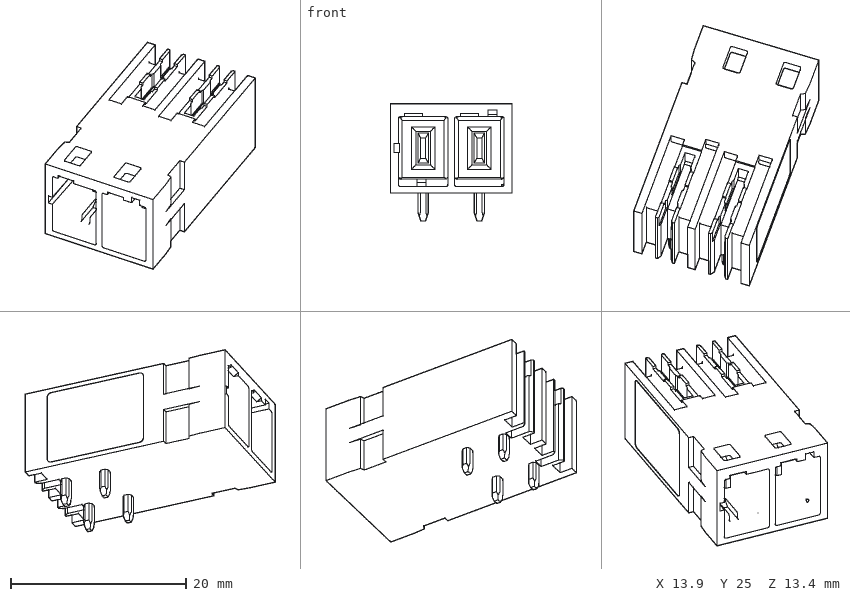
import cadquery as cq


BODY_W, BODY_L, BODY_H = 13.9, 25.0, 10.2
POLE_X = 3.2
POLES = (-POLE_X, POLE_X)
OVERCUT = 0.25

CAVITY_W = 5.65
CAVITY_FLOOR, CAVITY_ROOF = 0.75, 8.7
CAVITY_DEPTH = 12.5
WALL_DRAFT = 0.2
BACK_TAPER, ROOF_TAPER, BACK_TAPER_L = 0.22, 0.42, 1.5
STEP_Y, STEP_H = 3.22, 0.82
CAVITY_EDGE_R, STEP_R = 0.22, 0.238

CONTACT_Z = 5.12
COLLAR_W, COLLAR_H, COLLAR_SLOPE, COLLAR_L = 2.7, 4.85, 0.52, 3.0
BLADE_W, BLADE_H = 1.2, 3.45
BLADE_TIP_W, BLADE_TIP_H = 0.58, 2.32
BLADE_TIP_Y, BLADE_TAPER_L = 5.0, 2.0

WINDOW_W = 2.05
WINDOW_FRONT, WINDOW_BACK = 1.5, 4.48
WINDOW_R = 0.18
WINDOW_OFFSET = -1.1
LEAD_IN_H, LEAD_IN_L = 0.38, 0.6

KEY_W = 1.02
FLOOR_KEY_X, FLOOR_KEY_END = -3.4, 6.5
ROOF_KEY_X, ROOF_KEY_END, ROOF_KEY_H = 4.7, 6.5, 0.75
KEY_RAMP, KEY_RAMP_L = 0.48, 0.6
SIDE_KEY_Z, SIDE_KEY_DEPTH, SIDE_KEY_END = 5.15, 0.52, 6.5

WIDE_SLOT_W = 1.6
WIDE_SLOT_OFFSET = 1.95
LEFT_SLOT_FRONT, RIGHT_SLOT_FRONT = 13.7, 14.52
WIDE_SLOT_FLOOR = 8.7
WIDE_SLOT_FLOOR_END = 23.42
WIDE_SLOT_R = 0.2
LEFT_SLOT_END_CHAMFER = 0.32

GAP_W, GAP_FRONT, GAP_FLOOR, GAP_FLOOR_END = 1.2, 15.92, 7.5, 22.22
GAP_END_RAMP = 0.28
RELIEF_FLOOR = 8.0
RELIEF_DEPTH, RELIEF_RUN = 0.15, 0.15
RELIEF_SPANS = ((17.55, 20.62), (22.3, BODY_L + OVERCUT))
FIN_LEAD_W, FIN_LEAD_L = 0.3, 0.42
FIN_DROP = 0.3
FIN_LOW_SPANS = ((15.2, 18.18), (20.0, 23.0))

GRIP_BACK, GRIP_DEEP_FRONT, GRIP_RISE_END, GRIP_FRONT = 7.68, 4.78, 4.58, 3.18
GRIP_DEPTH, GRIP_LIP = 0.6, 0.1
GRIP_LOWER_TOP, GRIP_UPPER_BOTTOM = 4.15, 6.18

PANEL_FRONT, PANEL_BACK = 10.22, 22.25
PANEL_BOTTOM, PANEL_TOP = 0.58, 9.65
PANEL_R, PANEL_DEPTH = 0.5, 0.05

PIN_ROWS = (16.7, 21.6)
PIN_W, PIN_L, PIN_CHAMFER = 1.2, 1.05, 0.28
PIN_TIP_W, PIN_TIP_L = 0.55, 0.5
PIN_BOTTOM, PIN_TAPER_H = -3.2, 0.98
PIN_ROOT = 1.25


def box(x0, x1, y0, y1, z0, z1):
    """Axis-aligned box between two corners."""
    return cq.Workplane("XY").box(x1 - x0, y1 - y0, z1 - z0, centered=False).translate((x0, y0, z0))


def side_profile(x0, width, points):
    """Closed (y, z) outline extruded along +X from x0."""
    return cq.Workplane("YZ", origin=(x0, 0, 0)).polyline(points).close().extrude(width)


def plan_profile(z0, height, points):
    """Closed (x, y) outline extruded along +Z from z0."""
    return cq.Workplane("XY", origin=(0, 0, z0)).polyline(points).close().extrude(height)


def frustum(x, y, z, base, tip, length):
    """Rectangular frustum narrowing from base at y towards the mating face."""
    return (
        cq.Workplane("XZ", origin=(x, y, z))
        .rect(*base)
        .workplane(offset=length)
        .rect(*tip)
        .loft()
    )


def cavity(x):
    """Stepped mating cavity with drafted walls and rounded edges."""
    upper_floor = CAVITY_FLOOR + STEP_H
    taper_y = CAVITY_DEPTH - BACK_TAPER_L
    side_outline = [
        (0, CAVITY_FLOOR),
        (STEP_Y, CAVITY_FLOOR),
        (STEP_Y, upper_floor),
        (taper_y, upper_floor),
        (CAVITY_DEPTH, upper_floor + BACK_TAPER),
        (CAVITY_DEPTH, CAVITY_ROOF - ROOF_TAPER),
        (taper_y, CAVITY_ROOF),
        (0, CAVITY_ROOF),
    ]
    half = CAVITY_W / 2
    plan_outline = [
        (x - half, 0),
        (x - half + WALL_DRAFT, taper_y),
        (x - half + WALL_DRAFT + BACK_TAPER, CAVITY_DEPTH),
        (x + half - WALL_DRAFT - BACK_TAPER, CAVITY_DEPTH),
        (x + half - WALL_DRAFT, taper_y),
        (x + half, 0),
    ]
    around_step = cq.selectors.BoxSelector(
        (x - CAVITY_W, STEP_Y - OVERCUT, 0),
        (x + CAVITY_W, STEP_Y + OVERCUT, upper_floor + OVERCUT),
    )
    return (
        side_profile(x - half, CAVITY_W, side_outline)
        .intersect(plan_profile(0, BODY_H, plan_outline))
        .edges(around_step).edges("|X").fillet(STEP_R)
        .faces("<X or >X").edges("not(<Y or >Y)").fillet(CAVITY_EDGE_R)
    )


def latch_window(x):
    """Rounded window through the cavity roof and the lead-in ramp ahead of it."""
    centre = x + WINDOW_OFFSET
    mid_z = (CAVITY_FLOOR + CAVITY_ROOF) / 2
    window = (
        box(centre - WINDOW_W / 2, centre + WINDOW_W / 2, WINDOW_FRONT, WINDOW_BACK, mid_z, BODY_H + OVERCUT)
        .edges("|Z").fillet(WINDOW_R)
    )
    lead_in = [
        (0, mid_z),
        (0, CAVITY_ROOF + LEAD_IN_H),
        (LEAD_IN_L, CAVITY_ROOF),
        (LEAD_IN_L, mid_z),
    ]
    return window.union(side_profile(centre - WINDOW_W / 2, WINDOW_W, lead_in))


def coding_keyways():
    """Keyways: floor and left wall of the left cavity, roof of the right cavity."""
    upper_floor = CAVITY_FLOOR + STEP_H
    floor_key = side_profile(FLOOR_KEY_X - KEY_W / 2, KEY_W, [
        (0, CAVITY_FLOOR),
        (FLOOR_KEY_END - KEY_RAMP_L, CAVITY_FLOOR),
        (FLOOR_KEY_END, CAVITY_FLOOR + KEY_RAMP),
        (FLOOR_KEY_END, upper_floor),
        (0, upper_floor),
    ])
    key_roof = CAVITY_ROOF + ROOF_KEY_H
    roof_key = side_profile(ROOF_KEY_X - KEY_W / 2, KEY_W, [
        (0, CAVITY_ROOF),
        (0, key_roof),
        (ROOF_KEY_END - KEY_RAMP_L, key_roof),
        (ROOF_KEY_END, key_roof - KEY_RAMP),
        (ROOF_KEY_END, CAVITY_ROOF),
    ])
    wall_x = -POLE_X - CAVITY_W / 2
    side_key = box(wall_x - SIDE_KEY_DEPTH, wall_x + WALL_DRAFT, 0, SIDE_KEY_END,
                   SIDE_KEY_Z - KEY_W / 2, SIDE_KEY_Z + KEY_W / 2)
    return floor_key.union(roof_key).union(side_key)


def contact(x):
    """Collar on the cavity back wall and the tapered blade it carries."""
    inner = (COLLAR_W - 2 * COLLAR_SLOPE, COLLAR_H - 2 * COLLAR_SLOPE)
    collar = frustum(x, CAVITY_DEPTH, CONTACT_Z, (COLLAR_W, COLLAR_H), inner, COLLAR_L)
    shoulder_y = BLADE_TIP_Y + BLADE_TAPER_L
    blade = box(x - BLADE_W / 2, x + BLADE_W / 2, shoulder_y, CAVITY_DEPTH,
                CONTACT_Z - BLADE_H / 2, CONTACT_Z + BLADE_H / 2)
    tip = frustum(x, shoulder_y, CONTACT_Z, (BLADE_W, BLADE_H), (BLADE_TIP_W, BLADE_TIP_H), BLADE_TAPER_L)
    return collar.union(blade).union(tip)


def wide_slot(x, front, end_chamfer):
    """Slot beside a fin: shallow with a rounded floor, then open to the board at the rear."""
    left, right = x - WIDE_SLOT_W / 2, x + WIDE_SLOT_W / 2
    rear, top = BODY_L + OVERCUT, BODY_H + OVERCUT
    slot = box(left, right, front, rear, WIDE_SLOT_FLOOR, top)
    if end_chamfer:
        slot = slot.faces("<Z").edges("<Y").chamfer(end_chamfer)
    slot = slot.faces("<Z").edges("|Y").fillet(WIDE_SLOT_R)
    opening = box(left, right, WIDE_SLOT_FLOOR_END, rear, -OVERCUT, top)
    return slot.union(opening)


def fin_gap(x):
    """Slot between the two fins of a pole, with wall reliefs and a flared rear entry."""
    half = GAP_W / 2
    top = BODY_H + OVERCUT
    rear = BODY_L + OVERCUT
    gap = side_profile(x - half, GAP_W, [
        (GAP_FRONT, top),
        (GAP_FRONT, GAP_FLOOR + GAP_END_RAMP),
        (GAP_FRONT + GAP_END_RAMP, GAP_FLOOR),
        (GAP_FLOOR_END, GAP_FLOOR),
        (GAP_FLOOR_END, -OVERCUT),
        (rear, -OVERCUT),
        (rear, top),
    ])
    wide = half + RELIEF_DEPTH
    for y0, y1 in RELIEF_SPANS:
        gap = gap.union(plan_profile(RELIEF_FLOOR, top - RELIEF_FLOOR, [
            (x - half, y0), (x - wide, y0 + RELIEF_RUN), (x - wide, y1 - RELIEF_RUN), (x - half, y1),
            (x + half, y1), (x + wide, y1 - RELIEF_RUN), (x + wide, y0 + RELIEF_RUN), (x + half, y0),
        ]))
    flare = plan_profile(-OVERCUT, top + OVERCUT, [
        (x - half, BODY_L - FIN_LEAD_L),
        (x - half - FIN_LEAD_W, BODY_L),
        (x + half + FIN_LEAD_W, BODY_L),
        (x + half, BODY_L - FIN_LEAD_L),
    ])
    return gap.union(flare)


def fin_low_tops(x):
    """Lowered stretches along the tops of a pole's fins."""
    half = WIDE_SLOT_OFFSET - WIDE_SLOT_W / 2
    cutter = cq.Workplane()
    for y0, y1 in FIN_LOW_SPANS:
        cutter = cutter.union(box(x - half, x + half, y0, y1, BODY_H - FIN_DROP, BODY_H + OVERCUT))
    return cutter


def side_grips():
    """Four grip recesses, two on each side wall, running out at top and bottom."""
    wall = BODY_W / 2
    outline = [
        (-wall, GRIP_BACK),
        (GRIP_DEPTH - wall, GRIP_BACK),
        (GRIP_DEPTH - wall, GRIP_DEEP_FRONT),
        (GRIP_LIP - wall, GRIP_RISE_END),
        (-wall, GRIP_FRONT),
    ]
    lower = plan_profile(0, GRIP_LOWER_TOP, outline)
    upper = plan_profile(GRIP_UPPER_BOTTOM, BODY_H - GRIP_UPPER_BOTTOM, outline)
    left = lower.union(upper)
    return left.union(left.mirror("YZ"))


def label_panel():
    """Shallow rounded panel on the left side wall."""
    wall = -BODY_W / 2
    return (
        box(wall, wall + PANEL_DEPTH, PANEL_FRONT, PANEL_BACK, PANEL_BOTTOM, PANEL_TOP)
        .edges("|X").fillet(PANEL_R)
    )


def solder_pin(x, y):
    """Corner-chamfered pin with a four-sided pointed end."""
    taper_top = PIN_BOTTOM + PIN_TAPER_H
    shank = cq.Workplane("XY", origin=(x, y, taper_top)).rect(PIN_W, PIN_L).extrude(PIN_ROOT - taper_top)
    point = (
        cq.Workplane("XY", origin=(x, y, PIN_BOTTOM))
        .rect(PIN_TIP_W, PIN_TIP_L)
        .workplane(offset=PIN_TAPER_H)
        .rect(PIN_W, PIN_L)
        .loft()
    )
    envelope = (
        cq.Workplane("XY", origin=(x, y, PIN_BOTTOM))
        .rect(PIN_W, PIN_L)
        .extrude(PIN_ROOT - PIN_BOTTOM)
        .edges("|Z").chamfer(PIN_CHAMFER)
    )
    return shank.union(point).intersect(envelope)


housing = box(-BODY_W / 2, BODY_W / 2, 0, BODY_L, 0, BODY_H)
for pole in POLES:
    housing = housing.cut(cavity(pole)).cut(latch_window(pole))
    housing = housing.cut(wide_slot(pole - WIDE_SLOT_OFFSET, LEFT_SLOT_FRONT, LEFT_SLOT_END_CHAMFER))
    housing = housing.cut(wide_slot(pole + WIDE_SLOT_OFFSET, RIGHT_SLOT_FRONT, 0))
    housing = housing.cut(fin_low_tops(pole)).cut(fin_gap(pole))
housing = housing.cut(coding_keyways()).cut(side_grips()).cut(label_panel())

result = housing
for pole in POLES:
    result = result.union(contact(pole))
    for row in PIN_ROWS:
        result = result.union(solder_pin(pole, row))